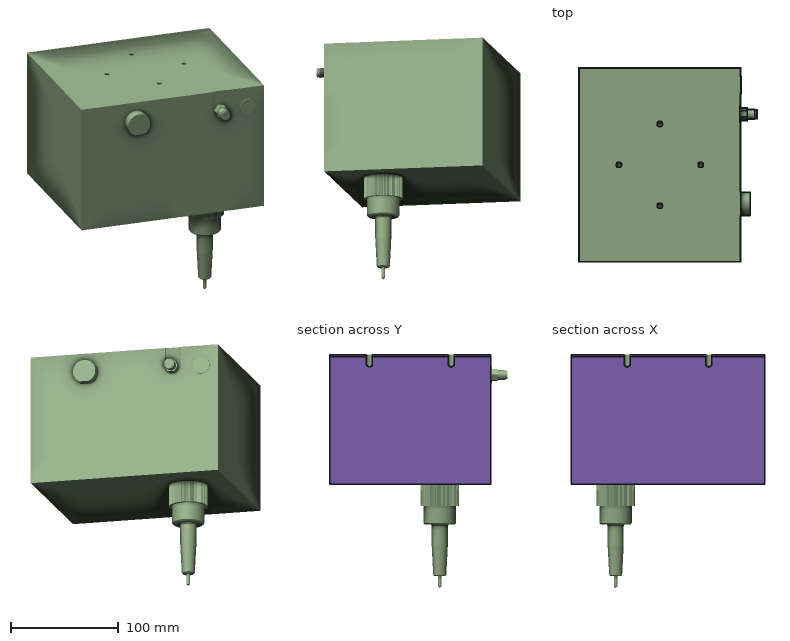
import cadquery as cq
import math

BOX_X = 150.0
BOX_Y = 179.8
BOX_Z = 120.7
LID_THICKNESS = 2.0
SIDE_X = BOX_X / 2

HOLE_DIAMETER = 5.0
HOLE_DEPTH = 10.0
HOLE_PATTERN_RADIUS = 38.0
HOLE_COUNT = 4
DRILL_POINT_ANGLE = 118

FITTING_Z = -19.0

AIR_Y = 46.8
SEAT_DIAMETER = 15.0
SEAT_DEPTH = 0.9
HEX_CORNER_DIAMETER = 12.0
HEX_TURN = -6
HEX_END = 6.0
SLEEVE_DIAMETER = 9.0
SLEEVE_END = 13.2
NECK_DIAMETER = 7.5
NECK_END = 14.7
RING_DIAMETER = 8.5
RING_END = 15.2

SOCKET_Y = -36.2
SOCKET_DIAMETER = 21.9
SOCKET_LENGTH = 9.0
SOCKET_FLAT_DROP = 9.7
SOCKET_RIM_LENGTH = 1.3
SOCKET_RIM_STEP = 0.2
DISC_Y = 73.9
DISC_DIAMETER = 15.5
DISC_THICKNESS = 0.6

PEN_X = 27.3
PEN_Y = 48.5
KNURL_DIAMETER = 36.0
KNURL_ROOT_DIAMETER = 35.0
KNURL_TEETH = 100
KNURL_GROOVE_SHARE = 0.7
KNURL_HEIGHT = 19.7
BARREL_DIAMETER = 30.0
BARREL_LENGTH = 17.3
BARREL_CHAMFER = 1.3
TUBE_DIAMETER = 15.0
TUBE_COLLAR_DIAMETER = 16.5
TUBE_COLLAR_HEIGHT = 1.3
TAPER_START_Z = -177.5
TAPER_END_Z = -205.3
TAPER_END_DIAMETER = 12.1
TAPER_CHAMFER = 1.0
NEEDLE_DIAMETER = 3.2
NEEDLE_POINT_Z = -215.0
TIP_Z = -216.6


def block(z_top, height):
    return cq.Workplane("XY").box(BOX_X, BOX_Y, height, centered=(True, True, False)).translate(
        (0, 0, z_top - height)
    )


def side_cylinder(y, diameter, x_start, x_end):
    """Cylinder along X on the fitting height, measured from the +X side."""
    return (
        cq.Workplane("YZ", origin=(SIDE_X + x_start, y, FITTING_Z))
        .circle(diameter / 2)
        .extrude(x_end - x_start)
    )


def mounting_holes():
    radius = HOLE_DIAMETER / 2
    point = radius / math.tan(math.radians(DRILL_POINT_ANGLE / 2))
    drill = (
        cq.Workplane("XZ")
        .polyline([(0, 0), (radius, 0), (radius, -HOLE_DEPTH), (0, -HOLE_DEPTH - point)])
        .close()
        .revolve(360, (0, 0, 0), (0, 1, 0))
        .val()
    )
    return (
        cq.Workplane("XY")
        .polarArray(HOLE_PATTERN_RADIUS, 0, 360, HOLE_COUNT)
        .eachpoint(lambda place: drill.moved(place))
    )


def fitting_seat():
    """Shallow slot round the air fitting, open to the top."""
    slot = (
        cq.Workplane("YZ", origin=(SIDE_X - SEAT_DEPTH, AIR_Y, 0))
        .rect(SEAT_DIAMETER, -2 * FITTING_Z)
        .extrude(SEAT_DEPTH)
    )
    return slot.union(side_cylinder(AIR_Y, SEAT_DIAMETER, -SEAT_DEPTH, 0))


def air_fitting():
    hexagon = (
        cq.Workplane("YZ", origin=(SIDE_X - SEAT_DEPTH, AIR_Y, FITTING_Z))
        .transformed(rotate=(0, 0, HEX_TURN))
        .polygon(6, HEX_CORNER_DIAMETER)
        .extrude(SEAT_DEPTH + HEX_END)
    )
    return (
        hexagon.union(side_cylinder(AIR_Y, SLEEVE_DIAMETER, HEX_END, SLEEVE_END))
        .union(side_cylinder(AIR_Y, NECK_DIAMETER, SLEEVE_END, NECK_END))
        .union(side_cylinder(AIR_Y, RING_DIAMETER, NECK_END, RING_END))
    )


def socket():
    """Round socket with a slightly tapered rim and a flat along its underside."""
    radius = SOCKET_DIAMETER / 2
    body = (
        cq.Workplane("XY", origin=(SIDE_X, SOCKET_Y, FITTING_Z))
        .polyline(
            [
                (0, 0),
                (0, radius),
                (SOCKET_LENGTH - SOCKET_RIM_LENGTH, radius),
                (SOCKET_LENGTH, radius - SOCKET_RIM_STEP),
                (SOCKET_LENGTH, 0),
            ]
        )
        .close()
        .revolve(360, (0, 0, 0), (1, 0, 0))
    )
    below_flat = (
        cq.Workplane("XY", origin=(SIDE_X, SOCKET_Y, FITTING_Z - SOCKET_FLAT_DROP))
        .rect(2 * SOCKET_LENGTH, SOCKET_DIAMETER)
        .extrude(-SOCKET_DIAMETER)
    )
    return body.cut(below_flat)


def make_housing():
    return (
        block(-LID_THICKNESS, BOX_Z - LID_THICKNESS)
        .cut(fitting_seat())
        .cut(mounting_holes())
        .union(air_fitting())
        .union(socket())
        .union(side_cylinder(DISC_Y, DISC_DIAMETER, 0, DISC_THICKNESS))
    )


def make_lid():
    return block(0, LID_THICKNESS).cut(fitting_seat()).cut(mounting_holes())


def knurled_ring(z_top, height):
    """Ring with straight V grooves and flat crests between them."""
    pitch = 2 * math.pi / KNURL_TEETH
    half_groove = pitch * KNURL_GROOVE_SHARE / 2
    points = []
    for groove in range(KNURL_TEETH):
        middle = groove * pitch
        for diameter, angle in (
            (KNURL_DIAMETER, middle - half_groove),
            (KNURL_ROOT_DIAMETER, middle),
            (KNURL_DIAMETER, middle + half_groove),
        ):
            points.append((diameter / 2 * math.cos(angle), diameter / 2 * math.sin(angle)))
    return (
        cq.Workplane("XY", origin=(PEN_X, PEN_Y, z_top)).polyline(points).close().extrude(-height)
    )


def pen_stem(z_top):
    """Barrel, tube, taper and needle turned about the pen axis."""
    barrel_bottom = z_top - BARREL_LENGTH
    barrel_r = BARREL_DIAMETER / 2
    taper_r = TAPER_END_DIAMETER / 2
    needle_r = NEEDLE_DIAMETER / 2
    return (
        cq.Workplane("XZ", origin=(PEN_X, PEN_Y, 0))
        .polyline(
            [
                (0, z_top),
                (barrel_r, z_top),
                (barrel_r, barrel_bottom + BARREL_CHAMFER),
                (barrel_r - BARREL_CHAMFER, barrel_bottom),
                (TUBE_COLLAR_DIAMETER / 2, barrel_bottom),
                (TUBE_DIAMETER / 2, barrel_bottom - TUBE_COLLAR_HEIGHT),
                (TUBE_DIAMETER / 2, TAPER_START_Z),
                (taper_r, TAPER_END_Z + TAPER_CHAMFER),
                (taper_r - TAPER_CHAMFER, TAPER_END_Z),
                (needle_r, TAPER_END_Z),
                (needle_r, NEEDLE_POINT_Z),
                (0, TIP_Z),
            ]
        )
        .close()
        .revolve(360, (0, 0, 0), (0, 1, 0))
    )


def make_pen():
    return knurled_ring(-BOX_Z, KNURL_HEIGHT).union(pen_stem(-BOX_Z - KNURL_HEIGHT))


housing = make_housing()
lid = make_lid()
pen = make_pen()

result = cq.Compound.makeCompound([housing.val(), lid.val(), pen.val()])